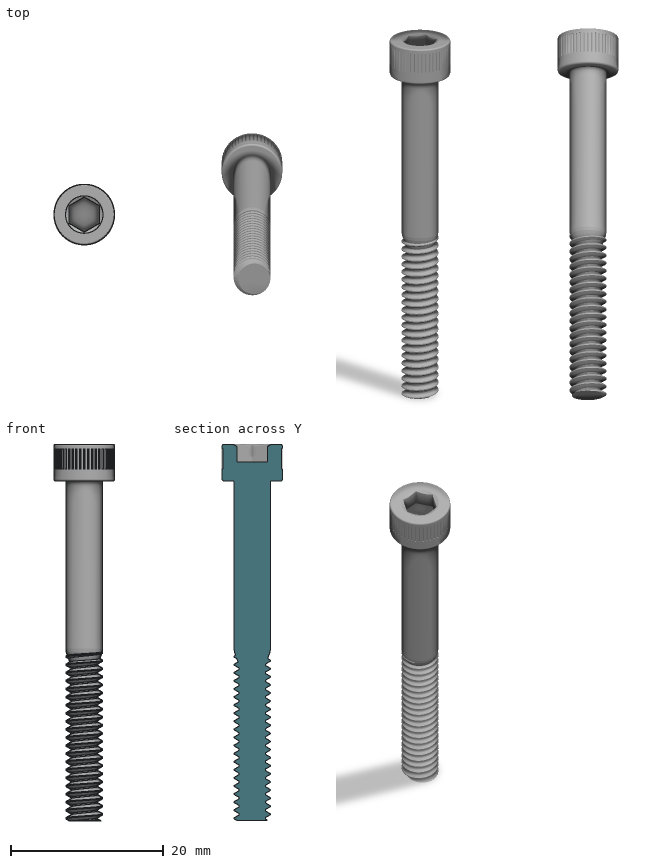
import cadquery as cq
import math

INCH = 25.4

HEAD_RADIUS = 0.3125 * INCH / 2
HEAD_HEIGHT = 0.190 * INCH
HEAD_TOP_FILLET = 0.22
HEAD_BOTTOM_FILLET = 0.25

SOCKET_SIDES = 6
SOCKET_FLATS = 5 / 32 * INCH
SOCKET_DEPTH = 0.090 * INCH
LEAD_IN_RADIUS = 2.45
LEAD_IN_ANGLE = math.radians(30)

KNURL_COUNT = 48
KNURL_WIDTH = 0.23
KNURL_DEPTH = 0.10
KNURL_TOP = HEAD_HEIGHT - 0.6
KNURL_BOTTOM = 1.6

LENGTH = 1.75 * INCH
SHANK_RADIUS = 0.190 * INCH / 2
PITCH = INCH / 24
THREAD_DEPTH = 0.6134 * PITCH
ROOT_RADIUS = SHANK_RADIUS - THREAD_DEPTH
CREST_FLAT = PITCH / 8
FLANK_ANGLE = math.radians(30)
THREADED_LENGTH = 22.5
RUNOUT_TOP = -LENGTH + THREADED_LENGTH
TAPER_LENGTH = 0.44
TAPER_DEPTH = 0.06
RUNOUT_LENGTH = 2 * PITCH
THREAD_START_DROP = 0.48
THREAD_TOP = RUNOUT_TOP - THREAD_START_DROP
CONE_OVERLAP = 0.1


def make_head():
    head = cq.Workplane("XY").circle(HEAD_RADIUS).extrude(HEAD_HEIGHT)
    head = head.faces(">Z").edges().fillet(HEAD_TOP_FILLET)
    return head.faces("<Z").edges().fillet(HEAD_BOTTOM_FILLET)


def make_socket():
    corner_diameter = SOCKET_FLATS / math.cos(math.pi / SOCKET_SIDES)
    hexagon = (
        cq.Workplane("XY", origin=(0, 0, HEAD_HEIGHT - SOCKET_DEPTH))
        .transformed(rotate=(0, 0, 90))
        .polygon(SOCKET_SIDES, corner_diameter)
        .extrude(SOCKET_DEPTH)
    )
    cone_depth = LEAD_IN_RADIUS * math.tan(LEAD_IN_ANGLE)
    lead_in = (
        cq.Workplane("XZ")
        .moveTo(0, HEAD_HEIGHT)
        .lineTo(LEAD_IN_RADIUS, HEAD_HEIGHT)
        .lineTo(0, HEAD_HEIGHT - cone_depth)
        .close()
        .revolve(360, (0, 0, 0), (0, 1, 0))
    )
    return hexagon.union(lead_in)


def cut_knurl(head):
    outer_radius = HEAD_RADIUS + KNURL_DEPTH
    groove = (
        cq.Workplane("XY", origin=(0, 0, KNURL_BOTTOM))
        .moveTo(HEAD_RADIUS - KNURL_DEPTH, 0)
        .lineTo(outer_radius, KNURL_WIDTH)
        .lineTo(outer_radius, -KNURL_WIDTH)
        .close()
        .extrude(KNURL_TOP - KNURL_BOTTOM)
        .val()
    )
    step = 360 / KNURL_COUNT
    grooves = [groove.rotate((0, 0, 0), (0, 0, 1), i * step) for i in range(KNURL_COUNT)]
    return head.cut(cq.Workplane(cq.Compound.makeCompound(grooves)))


def make_shank():
    taper_end = RUNOUT_TOP - TAPER_LENGTH
    cone_slope = (RUNOUT_LENGTH - TAPER_LENGTH) / (THREAD_DEPTH - TAPER_DEPTH)
    tip_z = RUNOUT_TOP - RUNOUT_LENGTH - CONE_OVERLAP * cone_slope
    return (
        cq.Workplane("YZ")
        .lineTo(SHANK_RADIUS, 0)
        .lineTo(SHANK_RADIUS, RUNOUT_TOP)
        .lineTo(SHANK_RADIUS - TAPER_DEPTH, taper_end)
        .lineTo(ROOT_RADIUS - CONE_OVERLAP, tip_z)
        .lineTo(0, tip_z)
        .close()
        .revolve(360, (0, 0, 0), (0, 1, 0))
    )


def thread_profile():
    half_crest = CREST_FLAT / 2
    half_base = half_crest + THREAD_DEPTH * math.tan(FLANK_ANGLE)
    return [
        (ROOT_RADIUS, -half_base),
        (SHANK_RADIUS, -half_crest),
        (SHANK_RADIUS, half_crest),
        (ROOT_RADIUS, half_base),
        (ROOT_RADIUS, PITCH - half_base),
    ]


def helix_turn(radius, z):
    return cq.Wire.makeHelix(PITCH, PITCH, radius).translate(cq.Vector(0, 0, z)).Edges()[0]


def thread_turn_faces(crest_z):
    helices = [helix_turn(radius, crest_z + z) for radius, z in thread_profile()]
    return [cq.Face.makeRuledSurface(low, high) for low, high in zip(helices, helices[1:])]


def spiral_cap(z):
    axis = cq.Edge.makeLine(cq.Vector(0, 0, z), cq.Vector(0, 0, z + PITCH))
    return cq.Face.makeRuledSurface(axis, helix_turn(ROOT_RADIUS, z))


def step_cap(crest_z):
    corners = [cq.Vector(radius, 0, crest_z + z) for radius, z in thread_profile()]
    corners.append(cq.Vector(0, 0, corners[-1].z))
    corners.append(cq.Vector(0, 0, corners[0].z))
    return cq.Face.makeFromWires(cq.Wire.makePolygon(corners, close=True))


def make_thread():
    turns = math.ceil((THREAD_TOP + LENGTH) / PITCH) + 1
    start = THREAD_TOP - turns * PITCH
    root_start = start + thread_profile()[0][1]
    faces = [spiral_cap(root_start), step_cap(start)]
    faces += [spiral_cap(root_start + turns * PITCH), step_cap(THREAD_TOP)]
    for turn in range(turns):
        faces += thread_turn_faces(start + turn * PITCH)
    rod = cq.Workplane(cq.Solid.makeSolid(cq.Shell.makeShell(faces)))

    waste_height = 4 * PITCH
    waste = (
        cq.Workplane("XY", origin=(0, 0, -LENGTH - waste_height))
        .circle(2 * SHANK_RADIUS)
        .extrude(waste_height)
    )
    return rod.cut(waste)


head = cut_knurl(make_head()).cut(make_socket())
result = head.union(make_shank()).union(make_thread())